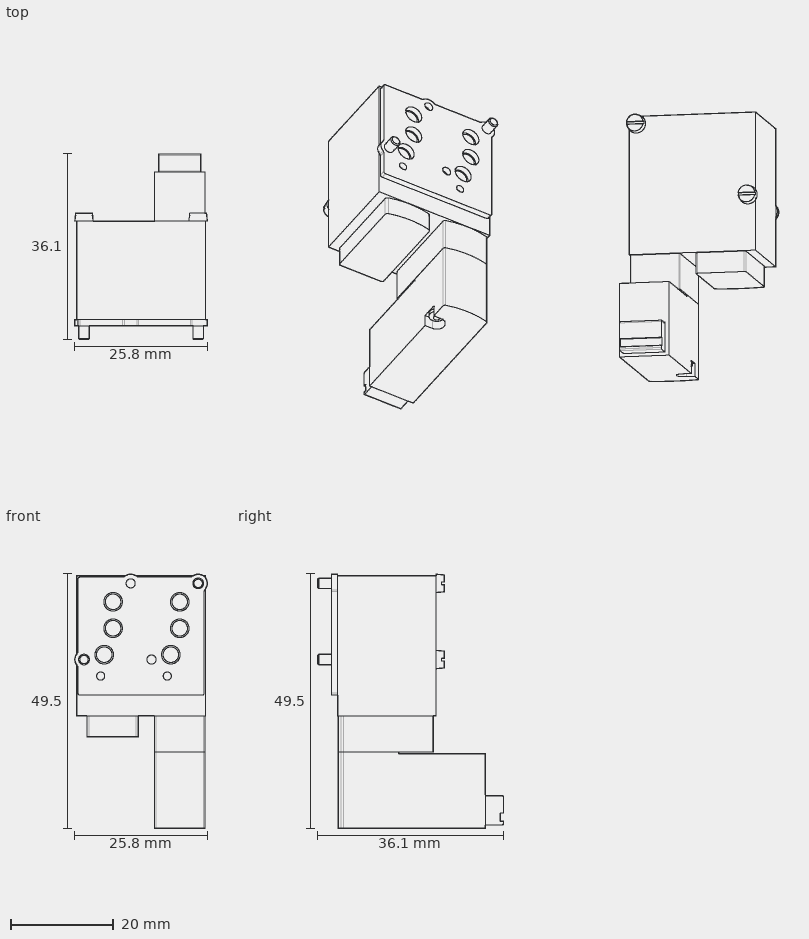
import cadquery as cq
import math


HOUSING_WIDTH = 25.1
HOUSING_DEPTH = 19.15
HOUSING_BOTTOM = 21.85
HOUSING_TOP = 49.15

PLATE_WIDTH = 24.5
PLATE_THICKNESS = 1.25
PLATE_BOTTOM = 25.9
PLATE_TOP = 48.85
PLATE_CORNER_RADIUS = 0.4
EAR_DIAMETER = 3.6
EAR_RADIUS = EAR_DIAMETER / 2
EAR_BLEND_RADIUS = 0.5

OVERALL_HEIGHT = 49.45
TOP_ROW = OVERALL_HEIGHT - EAR_RADIUS
LOWER_ROW = 32.8
SCREW_SPACING = 22.2
SCREW_X = SCREW_SPACING / 2
LOCATING_X = 2.05
SCREW_POINTS = [(SCREW_X, TOP_ROW), (-SCREW_X, LOWER_ROW)]
LOCATING_POINTS = [(-LOCATING_X, TOP_ROW), (LOCATING_X, LOWER_ROW)]
EAR_POINTS = [*SCREW_POINTS, (-LOCATING_X, TOP_ROW)]
LOCATING_DIAMETER = 1.8

VALVE_PITCH = 12.95
FLAT_PORT_X = -5.45
FLAT_PORT_ROWS = [44.05, 38.9]
DRILLED_PORT_X = -7.15
DRILLED_PORT_ROW = 33.75
VENT_X = -7.85
VENT_ROW = 29.6
PORT_SEAT_DIAMETER = 3.6
PORT_DIAMETER = 3.0
PORT_DEPTH = 2.45
DRILL_POINT_ANGLE = 118
VENT_DIAMETER = 1.6

SHANK_DIAMETER = 2.1
TIP_DIAMETER = 1.65
TIP_CHAMFER = (SHANK_DIAMETER - TIP_DIAMETER) / 2
SCREW_TIP_Y = -3.9
HEAD_HEIGHT = 1.6
HEAD_BASE_DIAMETER = 3.6
HEAD_TOP_DIAMETER = 3.3
DRIVER_SLOT_WIDTH = 0.5
DRIVER_SLOT_DEPTH = 0.5

BOW_FRONT = 0.05
BOW_RADIUS = 18.3
VALVE_BACK = 18.6
CAP_X = -5.55
CAP_WIDTH = 10.0
CAP_BOTTOM = 17.8
CAP_FRONT_FILLET = 0.6
CAP_BACK_FILLET = 0.4
COIL_X = 7.5
COIL_WIDTH = 9.9
COIL_BOTTOM = 14.85
COIL_FRONT_FILLET = 0.45
COIL_BACK_FILLET = 0.2

CONNECTOR_BACK = 28.7
CONNECTOR_STEP_Y = 11.85
CONNECTOR_STEP_HEIGHT = 0.3
RECESS_WIDTH = 3.3
RECESS_X = COIL_X - COIL_WIDTH / 2 + RECESS_WIDTH / 2
RECESS_Y = 6.2
RECESS_HEIGHT = 2.55

COVER_SCREW_DIAMETER = 3.0
COVER_SCREW_FACE_DIAMETER = 1.3
COVER_SCREW_RIM = 0.7
COVER_SCREW_TAPER = 0.4

PLUG_WIDTH = 8.25
PLUG_BACK = 32.25
PLUG_BOTTOM = 0.65
PLUG_TOP = 6.4
PLUG_EDGE_RADIUS = 0.3
PLUG_ROOT_RADIUS = 0.2
PLUG_GROOVE_BOTTOM = 1.4
PLUG_GROOVE_TOP = 2.95
PLUG_GROOVE_DEPTH = 0.6


def box(x_range, y_range, z_range):
    """A box between the given limits."""
    lengths = [high - low for low, high in (x_range, y_range, z_range)]
    corner = (x_range[0], y_range[0], z_range[0])
    return cq.Workplane(cq.Solid.makeBox(*lengths, cq.Vector(*corner)))


def rod(point, diameter, front, back):
    """A round bar along Y around the (x, z) point."""
    x, z = point
    return cq.Workplane(
        cq.Solid.makeCylinder(diameter / 2, back - front, cq.Vector(x, front, z), cq.Vector(0, 1, 0))
    )


def on_both_valves(x, z):
    """The (x, z) point and its copy one valve pitch further along X."""
    return [(x, z), (x + VALVE_PITCH, z)]


FLAT_PORTS = [point for row in FLAT_PORT_ROWS for point in on_both_valves(FLAT_PORT_X, row)]
DRILLED_PORTS = on_both_valves(DRILLED_PORT_X, DRILLED_PORT_ROW)
VENTS = on_both_valves(VENT_X, VENT_ROW)


def make_housing():
    """A plain block with the screws' through holes and blind ports in its mounting face."""
    half_width = HOUSING_WIDTH / 2
    body = box((-half_width, half_width), (0, HOUSING_DEPTH), (HOUSING_BOTTOM, HOUSING_TOP))
    for point in SCREW_POINTS:
        body = body.cut(rod(point, SHANK_DIAMETER, 0, HOUSING_DEPTH))
    for point in [*FLAT_PORTS, *DRILLED_PORTS]:
        body = body.cut(rod(point, PORT_DIAMETER, 0, PORT_DEPTH))
    port_radius = PORT_DIAMETER / 2
    cone_depth = port_radius / math.tan(math.radians(DRILL_POINT_ANGLE / 2))
    for x, z in DRILLED_PORTS:
        cone = cq.Solid.makeCone(
            port_radius, 0, cone_depth, cq.Vector(x, PORT_DEPTH, z), cq.Vector(0, 1, 0)
        )
        body = body.cut(cq.Workplane(cone))
    return body


def make_plate():
    """A flat plate whose ears blend into its outline."""
    half_width = PLATE_WIDTH / 2
    front = -PLATE_THICKNESS
    plate = box((-half_width, half_width), (front, 0), (PLATE_BOTTOM, PLATE_TOP))
    plate = plate.edges("|Y and (<X or <Z)").fillet(PLATE_CORNER_RADIUS)
    for point in EAR_POINTS:
        plate = plate.union(rod(point, 2 * EAR_RADIUS, front, 0))
    for x, z in ear_joints():
        joint = cq.NearestToPointSelector((x, front / 2, z))
        plate = plate.edges(joint).fillet(EAR_BLEND_RADIUS)
    holes = [
        (SCREW_POINTS, SHANK_DIAMETER),
        (LOCATING_POINTS, LOCATING_DIAMETER),
        (FLAT_PORTS, PORT_SEAT_DIAMETER),
        (DRILLED_PORTS, PORT_SEAT_DIAMETER),
        (VENTS, VENT_DIAMETER),
    ]
    for points, diameter in holes:
        for point in points:
            plate = plate.cut(rod(point, diameter, front, 0))
    return plate


def ear_joints():
    """The (x, z) inner corners where the ears' circles cross the plate's outline."""
    half_width = PLATE_WIDTH / 2
    top_half_chord = math.sqrt(EAR_RADIUS**2 - (PLATE_TOP - TOP_ROW) ** 2)
    side_half_chord = math.sqrt(EAR_RADIUS**2 - (half_width - SCREW_X) ** 2)
    return [
        (-LOCATING_X - top_half_chord, PLATE_TOP),
        (-LOCATING_X + top_half_chord, PLATE_TOP),
        (SCREW_X - top_half_chord, PLATE_TOP),
        (half_width, TOP_ROW - side_half_chord),
        (-half_width, LOWER_ROW - side_half_chord),
        (-half_width, LOWER_ROW + side_half_chord),
    ]


def make_screw(point):
    """A slotted screw that runs through the housing and plate, with a tapered head."""
    x, z = point
    shank = rod(point, SHANK_DIAMETER, SCREW_TIP_Y, HOUSING_DEPTH).faces("<Y").chamfer(TIP_CHAMFER)
    head = cq.Solid.makeCone(
        HEAD_BASE_DIAMETER / 2,
        HEAD_TOP_DIAMETER / 2,
        HEAD_HEIGHT,
        cq.Vector(x, HOUSING_DEPTH, z),
        cq.Vector(0, 1, 0),
    )
    head_top = HOUSING_DEPTH + HEAD_HEIGHT
    half_length = HEAD_BASE_DIAMETER / 2
    half_slot = DRIVER_SLOT_WIDTH / 2
    slot = box(
        (x - half_length, x + half_length),
        (head_top - DRIVER_SLOT_DEPTH, head_top),
        (z - half_slot, z + half_slot),
    )
    return shank.union(cq.Workplane(head)).cut(slot)


def bowed_block(x, width, back, z_range, front_fillet):
    """An upright block centred on x with a bowed front and rounded front corners."""
    bottom, top = z_range
    half_width = width / 2
    sagitta = BOW_RADIUS - math.sqrt(BOW_RADIUS**2 - half_width**2)
    shoulder = BOW_FRONT + sagitta
    block = (
        cq.Workplane("XY", origin=(x, 0, bottom))
        .moveTo(-half_width, back)
        .lineTo(-half_width, shoulder)
        .threePointArc((0, BOW_FRONT), (half_width, shoulder))
        .lineTo(half_width, back)
        .close()
        .extrude(top - bottom)
    )
    return block.edges("|Z").edges("<Y").fillet(front_fillet)


def make_cap():
    cap = bowed_block(CAP_X, CAP_WIDTH, VALVE_BACK, (CAP_BOTTOM, HOUSING_BOTTOM), CAP_FRONT_FILLET)
    return cap.edges("|Z and >Y").fillet(CAP_BACK_FILLET)


def make_coil():
    coil = bowed_block(COIL_X, COIL_WIDTH, VALVE_BACK, (COIL_BOTTOM, HOUSING_BOTTOM), COIL_FRONT_FILLET)
    return coil.edges("|Z and >Y").fillet(COIL_BACK_FILLET)


def make_connector():
    """A long block under the coil, stepped clear of it at the back, with a recess for the cover screw."""
    body = bowed_block(COIL_X, COIL_WIDTH, CONNECTOR_BACK, (0, COIL_BOTTOM), COIL_FRONT_FILLET)
    left = COIL_X - COIL_WIDTH / 2
    right = COIL_X + COIL_WIDTH / 2
    step = box(
        (left, right),
        (CONNECTOR_STEP_Y, CONNECTOR_BACK),
        (COIL_BOTTOM - CONNECTOR_STEP_HEIGHT, COIL_BOTTOM),
    )
    half_recess = RECESS_WIDTH / 2
    recess = box((left, RECESS_X), (RECESS_Y - half_recess, RECESS_Y + half_recess), (0, RECESS_HEIGHT))
    recess_end = cq.Solid.makeCylinder(half_recess, RECESS_HEIGHT, cq.Vector(RECESS_X, RECESS_Y, 0))
    return body.cut(step).cut(recess).cut(cq.Workplane(recess_end))


def make_cover_screw():
    """A low cylinder under the recess's ceiling that tapers below to a flat face."""
    radius = COVER_SCREW_DIAMETER / 2
    face_radius = COVER_SCREW_FACE_DIAMETER / 2
    face = -COVER_SCREW_RIM - COVER_SCREW_TAPER
    return (
        cq.Workplane("XZ", origin=(RECESS_X, RECESS_Y, RECESS_HEIGHT))
        .lineTo(radius, 0)
        .lineTo(radius, -COVER_SCREW_RIM)
        .lineTo(face_radius, face)
        .lineTo(0, face)
        .close()
        .revolve(360, (0, 0, 0), (0, 1, 0))
    )


def make_plug():
    """A block with a groove across its back and a small hollow round where its top meets the connector."""
    left = COIL_X - PLUG_WIDTH / 2
    right = COIL_X + PLUG_WIDTH / 2
    plug = box((left, right), (CONNECTOR_BACK, PLUG_BACK), (PLUG_BOTTOM, PLUG_TOP))
    plug = plug.edges("|X and >Y").fillet(PLUG_EDGE_RADIUS)
    groove = box(
        (left, right),
        (PLUG_BACK - PLUG_GROOVE_DEPTH, PLUG_BACK),
        (PLUG_GROOVE_BOTTOM, PLUG_GROOVE_TOP),
    )
    root = (
        cq.Workplane("YZ", origin=(left, CONNECTOR_BACK, PLUG_TOP))
        .lineTo(PLUG_ROOT_RADIUS, 0)
        .radiusArc((0, PLUG_ROOT_RADIUS), PLUG_ROOT_RADIUS)
        .close()
        .extrude(PLUG_WIDTH)
    )
    return plug.cut(groove).union(root)


housing = make_housing()
plate = make_plate()
screws = [make_screw(point) for point in SCREW_POINTS]
cap = make_cap()
coil = make_coil()
connector = make_connector()
cover_screw = make_cover_screw()
plug = make_plug()

result = cq.Compound.makeCompound(
    [
        housing.val(),
        plate.val(),
        *[screw.val() for screw in screws],
        cap.val(),
        coil.val(),
        connector.val(),
        cover_screw.val(),
        plug.val(),
    ]
)